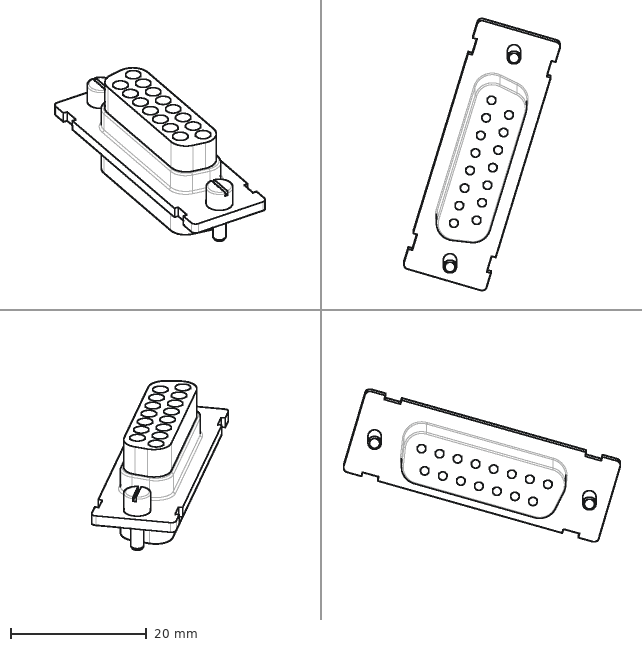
import cadquery as cq
import math

PLATE_LENGTH = 39.12
PLATE_WIDTH = 12.7
PLATE_THICKNESS = 1.55
PLATE_CORNER_RADIUS = 0.75
NOTCH_LENGTH = 2.45
NOTCH_DEPTH = 0.63
NOTCH_END_DISTANCE = 2.95

SIDE_ANGLE = 10.0
D_CORNER_RADIUS = 2.62
SHELL_MEAN_WIDTH = 24.25
SHELL_DEPTH = 8.0
INSERT_MEAN_WIDTH = 23.25
INSERT_DEPTH = 7.2

INSERT_HEIGHT = 7.82
COLLAR_HEIGHT = 3.33
LOWER_SHELL_HEIGHT = 5.85

COLLAR_RIM_RADIUS = 0.27
COLLAR_ROOT_RADIUS = 0.3
LOWER_RIM_RADIUS = 0.25
LOWER_ROOT_RADIUS = 0.2
ROOT_SEARCH_MARGIN = 0.4

CONTACTS_LONG_ROW = 8
LONG_ROW_SPAN = 19.35
CONTACT_PITCH = LONG_ROW_SPAN / (CONTACTS_LONG_ROW - 1)
ROW_SPACING = 3.1
ROW_CENTER_Y = -0.1
MOUTH_DIAMETER = 2.25
BORE_DIAMETER = 1.25
MOUTH_DEPTH = 7.05
CONE_HALF_ANGLE = 59.0

SCREW_SPACING = 32.95
HEAD_DIAMETER = 3.95
HEAD_HEIGHT = 3.05
HEAD_EDGE_RADIUS = 0.25
SLOT_WIDTH = 0.45
SLOT_DEPTH = 0.65
SHANK_DIAMETER = 1.95
SHANK_LENGTH = 4.6
SHANK_CHAMFER_LENGTH = 0.4
SHANK_CHAMFER_WIDTH = 0.25

INSERT_TOP = PLATE_THICKNESS + INSERT_HEIGHT


def d_prism(mean_width, depth, bottom, height):
    """Prism with a rounded trapezoid outline, wider towards +Y."""
    flare = depth / 2 * math.tan(math.radians(SIDE_ANGLE))
    wide = mean_width / 2 + flare
    narrow = mean_width / 2 - flare
    corners = [(-wide, depth / 2), (wide, depth / 2), (narrow, -depth / 2), (-narrow, -depth / 2)]
    prism = cq.Workplane("XY").workplane(offset=bottom).polyline(corners).close().extrude(height)
    return prism.edges("|Z").fillet(D_CORNER_RADIUS)


def make_plate():
    plate = cq.Workplane("XY").box(
        PLATE_LENGTH, PLATE_WIDTH, PLATE_THICKNESS, centered=(True, True, False)
    )
    plate = plate.edges("|Z").fillet(PLATE_CORNER_RADIUS)
    notch_x = PLATE_LENGTH / 2 - NOTCH_END_DISTANCE - NOTCH_LENGTH / 2
    notches = (
        cq.Workplane("XY")
        .rect(2 * notch_x, PLATE_WIDTH, forConstruction=True)
        .vertices()
        .rect(NOTCH_LENGTH, 2 * NOTCH_DEPTH)
        .extrude(PLATE_THICKNESS)
    )
    return plate.cut(notches)


def shell_root(z):
    """Selector for the edges where the shell meets the plate face at height z."""
    half_x = SHELL_MEAN_WIDTH / 2 + ROOT_SEARCH_MARGIN
    half_y = SHELL_DEPTH / 2 + ROOT_SEARCH_MARGIN
    return cq.selectors.BoxSelector(
        (-half_x, -half_y, z - ROOT_SEARCH_MARGIN),
        (half_x, half_y, z + ROOT_SEARCH_MARGIN),
    )


def make_housing():
    """Plate with the shell above and below it, rims and roots rounded."""
    collar = d_prism(SHELL_MEAN_WIDTH, SHELL_DEPTH, PLATE_THICKNESS, COLLAR_HEIGHT)
    collar = collar.faces(">Z").edges().fillet(COLLAR_RIM_RADIUS)
    lower = d_prism(SHELL_MEAN_WIDTH, SHELL_DEPTH, -LOWER_SHELL_HEIGHT, LOWER_SHELL_HEIGHT)
    lower = lower.faces("<Z").edges().fillet(LOWER_RIM_RADIUS)
    housing = make_plate().union(collar).union(lower)

    housing = housing.edges(shell_root(PLATE_THICKNESS)).fillet(COLLAR_ROOT_RADIUS)
    return housing.edges(shell_root(0)).fillet(LOWER_ROOT_RADIUS)


def contact_hole():
    """Solid to remove for one contact, on the Z axis."""
    mouth_radius = MOUTH_DIAMETER / 2
    bore_radius = BORE_DIAMETER / 2
    cone_top = INSERT_TOP - MOUTH_DEPTH
    cone_bottom = cone_top - (mouth_radius - bore_radius) / math.tan(math.radians(CONE_HALF_ANGLE))
    profile = [
        (0, INSERT_TOP),
        (mouth_radius, INSERT_TOP),
        (mouth_radius, cone_top),
        (bore_radius, cone_bottom),
        (bore_radius, -LOWER_SHELL_HEIGHT),
        (0, -LOWER_SHELL_HEIGHT),
    ]
    return cq.Workplane("XZ").polyline(profile).close().revolve(360, (0, 0), (0, 1))


def contact_positions():
    rows = [
        (CONTACTS_LONG_ROW, ROW_CENTER_Y + ROW_SPACING / 2),
        (CONTACTS_LONG_ROW - 1, ROW_CENTER_Y - ROW_SPACING / 2),
    ]
    return [
        ((i - (count - 1) / 2) * CONTACT_PITCH, y)
        for count, y in rows
        for i in range(count)
    ]


def make_screw():
    """Slotted screw on the Z axis, its head resting on the plate."""
    head = (
        cq.Workplane("XY")
        .workplane(offset=PLATE_THICKNESS)
        .circle(HEAD_DIAMETER / 2)
        .extrude(HEAD_HEIGHT)
        .faces(">Z")
        .edges()
        .fillet(HEAD_EDGE_RADIUS)
    )
    slot = (
        cq.Workplane("XY")
        .workplane(offset=PLATE_THICKNESS + HEAD_HEIGHT)
        .rect(HEAD_DIAMETER, SLOT_WIDTH)
        .extrude(-SLOT_DEPTH)
    )
    shank = (
        cq.Workplane("XY")
        .workplane(offset=PLATE_THICKNESS)
        .circle(SHANK_DIAMETER / 2)
        .extrude(-PLATE_THICKNESS - SHANK_LENGTH)
        .faces("<Z")
        .chamfer(SHANK_CHAMFER_LENGTH, SHANK_CHAMFER_WIDTH)
    )
    return head.cut(slot).union(shank)


result = make_housing()
result = result.union(d_prism(INSERT_MEAN_WIDTH, INSERT_DEPTH, PLATE_THICKNESS, INSERT_HEIGHT))

hole = contact_hole()
for x, y in contact_positions():
    result = result.cut(hole.translate((x, y, 0)))

screw = make_screw()
for x in (-SCREW_SPACING / 2, SCREW_SPACING / 2):
    result = result.union(screw.translate((x, 0, 0)))